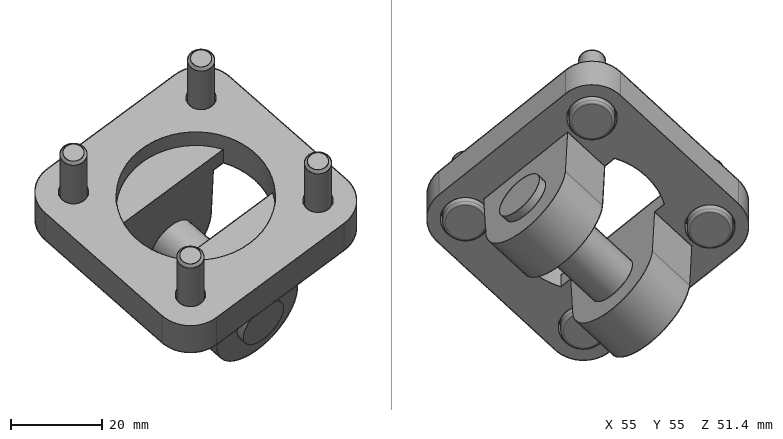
import cadquery as cq
import math

plate_size = 55
plate_thickness = 10.0
screw_spacing = 38.0
corner_radius = (plate_size - screw_spacing) / 2

recess_diameter = 35.0
recess_depth = plate_thickness / 2
lug_gap = 16.0

lug_thickness = 12.0
lug_radius = 12.0
lug_base_width = 25.2
lug_side_height = 16.0
pin_drop = 14.9
pin_diameter = 12.0
pin_length = 44

screw_diameter = 6.0
screw_protrusion = 14.5
screw_tip_chamfer = 0.65
head_diameter = 10.0
head_protrusion = 1.5
head_edge_radius = 0.6
clearance_diameter = 6.6
counterbore_diameter = 11
counterbore_depth = 4.5


def at_screws(workplane):
    return workplane.rect(screw_spacing, screw_spacing, forConstruction=True).vertices()


def make_plate():
    plate = cq.Workplane("XY").box(plate_size, plate_size, plate_thickness, centered=(True, True, False))
    plate = plate.edges("|Z").fillet(corner_radius)
    recess_floor = plate_thickness - recess_depth
    recess = cq.Workplane("XY").workplane(offset=recess_floor).circle(recess_diameter / 2).extrude(recess_depth)
    opening = cq.Workplane("XY").circle(recess_diameter / 2).extrude(recess_floor)
    slot = cq.Workplane("XY").box(lug_gap, plate_size, recess_floor, centered=(True, True, False))
    clearance = at_screws(cq.Workplane("XY")).circle(clearance_diameter / 2).extrude(plate_thickness)
    counterbores = at_screws(cq.Workplane("XY")).circle(counterbore_diameter / 2).extrude(counterbore_depth)
    return plate.cut(recess).cut(opening.intersect(slot)).cut(clearance).cut(counterbores)


def make_lug(x_start):
    half_base = lug_base_width / 2
    arc_end_y = math.sqrt(lug_radius**2 - (lug_side_height - pin_drop) ** 2)
    return (
        cq.Workplane("YZ", origin=(x_start, 0, 0))
        .moveTo(-half_base, 0)
        .lineTo(-arc_end_y, -lug_side_height)
        .threePointArc((0, -pin_drop - lug_radius), (arc_end_y, -lug_side_height))
        .lineTo(half_base, 0)
        .close()
        .extrude(lug_thickness)
    )


def make_pin():
    return cq.Workplane("YZ", origin=(-pin_length / 2, 0, -pin_drop)).circle(pin_diameter / 2).extrude(pin_length)


def make_screws():
    shank_length = plate_thickness - counterbore_depth + screw_protrusion
    shanks = at_screws(cq.Workplane("XY", origin=(0, 0, counterbore_depth)))
    shanks = shanks.circle(screw_diameter / 2).extrude(shank_length)
    shanks = shanks.faces(">Z").edges().chamfer(screw_tip_chamfer)
    heads = at_screws(cq.Workplane("XY", origin=(0, 0, -head_protrusion)))
    heads = heads.circle(head_diameter / 2).extrude(head_protrusion + counterbore_depth)
    heads = heads.faces("<Z").edges().fillet(head_edge_radius)
    return heads.union(shanks)


result = make_plate()
for x_start in (lug_gap / 2, -lug_gap / 2 - lug_thickness):
    result = result.union(make_lug(x_start))
result = result.union(make_pin()).union(make_screws())